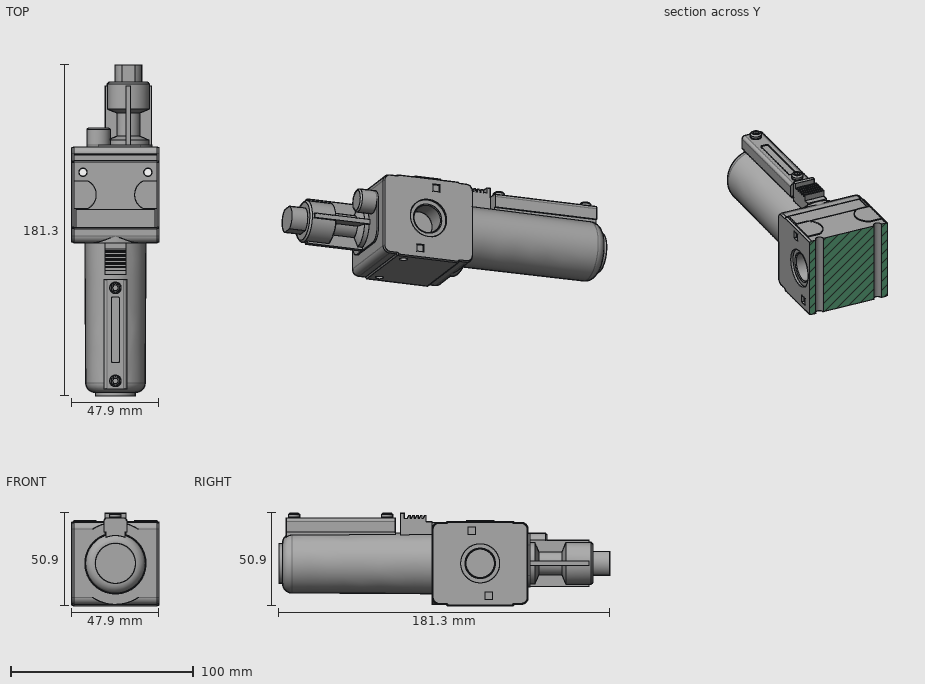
import cadquery as cq


TOTAL_LENGTH = 181.3
BLOCK_WIDTH = 47.9
BLOCK_DEPTH = 52.5
BLOCK_HALF_HEIGHT = 22.5
BLOCK_FILLET = 3.8
BAND_FRONT = 7.6
BAND_BACK = 45.0
BAND_SLOPE = 0.7
BAND_TOP = 23.0
BAND_BOTTOM = -23.4
SIDE_BEVEL_X = 1.3
SIDE_BEVEL_IN = 0.5

PAD_WIDTH = 15.2
PAD_RADIUS = 8.5
PAD_CENTER_X = 19.0
PAD_TOP = 23.5
FACE_WIDTH = BLOCK_WIDTH - 2 * SIDE_BEVEL_X

GROOVE_Y = 48.0
GROOVE_WIDTH = 0.5
GROOVE_DEPTH = 0.2

LABEL_WIDTH = 43.1
LABEL_BACK = 18.1
LABEL_DEPTH = 0.2

MOUNT_HOLE_DIAMETER = 4.4
MOUNT_HOLE_X = 17.8
MOUNT_HOLE_Y = 38.6

PORT_Y = (BAND_FRONT + BAND_BACK) / 2
PORT_DIAMETER = 15.6
PORT_DEPTH = 14.5
PORT_CHAMFER = 0.5
PORT_SEAT_DIAMETER = 21.4
PORT_SEAT_DEPTH = 1.5
MARK_SIZE = 4.2
MARK_OFFSET_Y = 4.7
MARK_OFFSET_Z = 17.8
MARK_DEPTH = 1.5

DOME_X = 7.0
DOME_DIAMETER = 23.2
DOME_BASE_DIAMETER = 22.8
DOME_NECK_DIAMETER = 12.9
DOME_BASE_TOP = 56.2
NECK_START = 58.4
NECK_END = 71.0
COLLAR_START = 73.2
COLLAR_END = 88.1
COLLAR_CHAMFER = 1.0
FIN_SPAN = 25.4
FIN_THICKNESS = 2.5
FIN_END = 86.0
KNOB_DIAMETER = 14.9
KNOB_FLATS = 13.0
KNOB_END = 97.4

PLUG_X = -9.2
PLUG_Z = 10.2
PLUG_DIAMETER = 12.9
PLUG_END = 63.0
PLUG_CHAMFER = 0.9

PLATE_CORNER = PLUG_DIAMETER / 2
PLATE_LEFT = PLUG_X - PLATE_CORNER
PLATE_TOP = PLUG_Z + PLATE_CORNER
PLATE_RIGHT = 20.1
PLATE_BOTTOM = -13.0
PLATE_THICKNESS = 0.9

BOWL_TOP_DIAMETER = 33.5
BOWL_END_DIAMETER = 32.6
BOWL_END = -82.0
BOWL_FILLET = 5.3
CAP_DIAMETER = 22.0
CAP_END = KNOB_END - TOTAL_LENGTH

LATCH_WIDTH = 11.6
LATCH_LENGTH = 17.4
LATCH_STEP_Z = 22.8
LATCH_STEP_LENGTH = 3.3
TOOTH_ROOT_Z = 24.7
TOOTH_TIP_Z = 26.3
TOOTH_ROOT_WIDTH = 1.6
TOOTH_TIP_WIDTH = 0.9
TOOTH_COUNT = 5
TOOTH_PITCH = 2.2
STOP_LENGTH = 2.2
TOP_Z = 27.5

RAIL_FRONT = -80.0
RAIL_BACK = -20.1
RAIL_WIDTH = 12.7
RAIL_FOOT_WIDTH = 10.5
RAIL_UNDERSIDE_Z = 17.0
RAIL_TOP_Z = 24.8
RAIL_FILLET = 1.8
WINDOW_WIDTH = 4.4
WINDOW_FRONT = -65.6
WINDOW_BACK = -29.7
WINDOW_DEPTH = 0.5
WINDOW_CORNER = 0.7

SCREW_YS = (-24.7, -75.6)
SCREW_NECK_DIAMETER = 6.0
SCREW_NECK_HEIGHT = 0.5
SCREW_DIAMETER = 6.3
SCREW_CHAMFER = 0.9
SOCKET_SIZE = 3.3
SOCKET_DEPTH = 1.5

EMBED_Z = 9.0


def box(x0, x1, y0, y1, z0, z1):
    """Box between two corners."""
    return cq.Workplane("XY").box(x1 - x0, y1 - y0, z1 - z0, centered=False).translate((x0, y0, z0))


def rod(x, z, diameter, y0, y1):
    """Cylinder along Y."""
    circle = cq.Workplane("XZ", origin=(x, y0, z)).circle(diameter / 2)
    return circle.extrude(y0 - y1)


def turned(points):
    """Solid of revolution about the Y axis from (radius, y) points."""
    return cq.Workplane("XY").polyline(points).close().revolve(360, (0, 0), (0, 1))


def block_profile(x, inset):
    """Side outline of the block in the plane at x, shrunk evenly by inset."""
    front = inset
    back = BLOCK_DEPTH - inset
    half_height = BLOCK_HALF_HEIGHT - inset
    radius = BLOCK_FILLET - inset
    band_front = BAND_FRONT + inset
    band_back = BAND_BACK - inset
    band_top = BAND_TOP - inset
    band_bottom = BAND_BOTTOM + inset
    return (
        cq.Workplane("YZ", origin=(x, 0, 0))
        .moveTo(front + radius, -half_height)
        .lineTo(band_front, -half_height)
        .lineTo(band_front + BAND_SLOPE, band_bottom)
        .lineTo(band_back - BAND_SLOPE, band_bottom)
        .lineTo(band_back, -half_height)
        .lineTo(back - radius, -half_height)
        .radiusArc((back, radius - half_height), -radius)
        .lineTo(back, half_height - radius)
        .radiusArc((back - radius, half_height), -radius)
        .lineTo(band_back, half_height)
        .lineTo(band_back - BAND_SLOPE, band_top)
        .lineTo(band_front + BAND_SLOPE, band_top)
        .lineTo(band_front, half_height)
        .lineTo(front + radius, half_height)
        .radiusArc((front, half_height - radius), -radius)
        .lineTo(front, radius - half_height)
        .radiusArc((front + radius, -half_height), -radius)
        .close()
    )


def make_block():
    """Filleted block with a raised band around it and bevelled side faces."""
    block = block_profile(-FACE_WIDTH / 2, 0).extrude(FACE_WIDTH)
    for side in (-1, 1):
        inner_wire = block_profile(side * FACE_WIDTH / 2, 0).val()
        outer_wire = block_profile(side * BLOCK_WIDTH / 2, SIDE_BEVEL_IN).val()
        bevel = cq.Solid.makeLoft([inner_wire, outer_wire], True)
        block = block.union(cq.Workplane(bevel))
    return block


def make_bowl_boss():
    """Round boss that carries the flat front face out through the front fillets."""
    return rod(0, 0, 2 * BLOCK_HALF_HEIGHT, 0, BLOCK_FILLET)


def make_pads():
    """Raised pads above the two ports, each running from a round end to the side bevel."""
    strip = box(
        -FACE_WIDTH / 2, FACE_WIDTH / 2,
        PORT_Y - PAD_WIDTH / 2, PORT_Y + PAD_WIDTH / 2,
        0, PAD_TOP,
    )
    middle = box(-PAD_CENTER_X, PAD_CENTER_X, 0, BLOCK_DEPTH, 0, PAD_TOP)
    round_ends = (
        cq.Workplane("XY")
        .pushPoints([(-PAD_CENTER_X, PORT_Y), (PAD_CENTER_X, PORT_Y)])
        .circle(PAD_RADIUS)
        .extrude(PAD_TOP)
    )
    return strip.cut(middle.cut(round_ends))


def make_label_recess():
    """Shallow step in the band top, open towards the band's front slope."""
    half_width = LABEL_WIDTH / 2
    return box(
        -half_width, half_width,
        BAND_FRONT + BAND_SLOPE, LABEL_BACK,
        BAND_TOP - LABEL_DEPTH, BAND_TOP,
    )


def make_groove():
    """Fine groove across the block top, beside the back fillet."""
    return box(
        -FACE_WIDTH / 2, FACE_WIDTH / 2,
        GROOVE_Y, GROOVE_Y + GROOVE_WIDTH,
        BLOCK_HALF_HEIGHT - GROOVE_DEPTH, BLOCK_HALF_HEIGHT,
    )


def make_mount_holes():
    """Two vertical through holes behind the ports."""
    return (
        cq.Workplane("XY", origin=(0, 0, BAND_BOTTOM))
        .pushPoints([(-MOUNT_HOLE_X, MOUNT_HOLE_Y), (MOUNT_HOLE_X, MOUNT_HOLE_Y)])
        .circle(MOUNT_HOLE_DIAMETER / 2)
        .extrude(BAND_TOP - BAND_BOTTOM)
    )


def make_port_cut():
    """Blind port with a sealing seat and two square marks, in the -X side face."""
    face_x = -BLOCK_WIDTH / 2
    face = cq.Workplane("YZ", origin=(face_x, 0, 0))
    seat = face.center(PORT_Y, 0).circle(PORT_SEAT_DIAMETER / 2).extrude(PORT_SEAT_DEPTH)
    bore = face.center(PORT_Y, 0).circle(PORT_DIAMETER / 2).extrude(PORT_DEPTH)
    lead_in = cq.Solid.makeCone(
        PORT_DIAMETER / 2 + PORT_CHAMFER,
        PORT_DIAMETER / 2,
        PORT_CHAMFER,
        pnt=cq.Vector(face_x + PORT_SEAT_DEPTH, PORT_Y, 0),
        dir=cq.Vector(1, 0, 0),
    )
    marks = (
        face.pushPoints([
            (PORT_Y - MARK_OFFSET_Y, MARK_OFFSET_Z),
            (PORT_Y + MARK_OFFSET_Y, -MARK_OFFSET_Z),
        ])
        .rect(MARK_SIZE, MARK_SIZE)
        .extrude(MARK_DEPTH)
    )
    return seat.union(bore).union(cq.Workplane(lead_in)).union(marks)


def make_plate():
    """Rounded plate under the drip dome and the filler plug."""
    plate = box(
        PLATE_LEFT, PLATE_RIGHT,
        BLOCK_DEPTH, BLOCK_DEPTH + PLATE_THICKNESS,
        PLATE_BOTTOM, PLATE_TOP,
    )
    return plate.edges("|Y").fillet(PLATE_CORNER)


def make_dome():
    """Drip dome: waisted round body, four fins and a knob with two flats."""
    neck_radius = DOME_NECK_DIAMETER / 2
    base_radius = DOME_BASE_DIAMETER / 2
    collar_radius = DOME_DIAMETER / 2
    dome = turned([
        (0, BLOCK_DEPTH),
        (base_radius, BLOCK_DEPTH),
        (base_radius, DOME_BASE_TOP),
        (neck_radius, NECK_START),
        (neck_radius, NECK_END),
        (collar_radius, COLLAR_START),
        (collar_radius, COLLAR_END - COLLAR_CHAMFER),
        (collar_radius - COLLAR_CHAMFER, COLLAR_END),
        (0, COLLAR_END),
    ])
    half_span = FIN_SPAN / 2
    half_fin = FIN_THICKNESS / 2
    dome = dome.union(box(-half_span, half_span, BLOCK_DEPTH, FIN_END, -half_fin, half_fin))
    dome = dome.union(box(-half_fin, half_fin, BLOCK_DEPTH, FIN_END, -half_span, half_span))
    knob_radius = KNOB_DIAMETER / 2
    knob_flats = box(-knob_radius, knob_radius, COLLAR_START, KNOB_END, -KNOB_FLATS / 2, KNOB_FLATS / 2)
    knob = rod(0, 0, KNOB_DIAMETER, COLLAR_START, KNOB_END).intersect(knob_flats)
    return dome.union(knob).translate((DOME_X, 0, 0))


def make_plug():
    """Oil filler plug with a chamfered end."""
    plug = rod(PLUG_X, PLUG_Z, PLUG_DIAMETER, BLOCK_DEPTH, PLUG_END)
    return plug.faces(">Y").chamfer(PLUG_CHAMFER)


def make_housing():
    housing = make_block().cut(make_label_recess()).union(make_bowl_boss()).union(make_pads())
    housing = housing.cut(make_groove()).cut(make_mount_holes())
    port_cut = make_port_cut()
    housing = housing.cut(port_cut).cut(port_cut.mirror("YZ"))
    return housing.union(make_plate()).union(make_dome()).union(make_plug())


def make_cup():
    """Slightly tapered round cup with a rounded end and a flat cap."""
    cup = turned([
        (0, 0),
        (BOWL_TOP_DIAMETER / 2, 0),
        (BOWL_END_DIAMETER / 2, BOWL_END),
        (0, BOWL_END),
    ])
    cup = cup.faces("<Y").edges().fillet(BOWL_FILLET)
    return cup.union(rod(0, 0, CAP_DIAMETER, CAP_END, BOWL_END + BOWL_FILLET))


def make_latch():
    """Bowl release latch with grip teeth and an end stop."""
    half_width = LATCH_WIDTH / 2
    latch = box(-half_width, half_width, -LATCH_LENGTH, 0, EMBED_Z, LATCH_STEP_Z)
    latch = latch.union(
        box(-half_width, half_width, -LATCH_LENGTH, -LATCH_STEP_LENGTH, EMBED_Z, TOOTH_ROOT_Z)
    )
    latch = latch.union(
        box(-half_width, half_width, -LATCH_LENGTH, STOP_LENGTH - LATCH_LENGTH, EMBED_Z, TOP_Z)
    )
    for index in range(TOOTH_COUNT):
        back = -LATCH_STEP_LENGTH - index * TOOTH_PITCH
        tooth = (
            cq.Workplane("YZ")
            .polyline([
                (back, TOOTH_ROOT_Z),
                (back - TOOTH_ROOT_WIDTH, TOOTH_ROOT_Z),
                (back - TOOTH_TIP_WIDTH, TOOTH_TIP_Z),
                (back, TOOTH_TIP_Z),
            ])
            .close()
            .extrude(half_width, both=True)
        )
        latch = latch.union(tooth)
    return latch


def make_rail():
    """Sight-glass rail on a narrower foot, with a shallow window."""
    half_width = RAIL_WIDTH / 2
    half_foot = RAIL_FOOT_WIDTH / 2
    rail = box(-half_width, half_width, RAIL_FRONT, RAIL_BACK, RAIL_UNDERSIDE_Z, RAIL_TOP_Z)
    rail = rail.faces(">Z").edges("|Y").fillet(RAIL_FILLET)
    rail = rail.union(box(-half_foot, half_foot, RAIL_FRONT, RAIL_BACK, EMBED_Z, RAIL_UNDERSIDE_Z))
    window = box(
        -WINDOW_WIDTH / 2, WINDOW_WIDTH / 2,
        WINDOW_FRONT, WINDOW_BACK,
        RAIL_TOP_Z - WINDOW_DEPTH, RAIL_TOP_Z,
    )
    return rail.cut(window.edges("|Z").fillet(WINDOW_CORNER))


def make_screw_head(y):
    """Screw head on the rail, with an undercut neck and a hexagon socket."""
    neck = cq.Workplane("XY", origin=(0, y, RAIL_TOP_Z)).circle(SCREW_NECK_DIAMETER / 2)
    neck = neck.extrude(SCREW_NECK_HEIGHT)
    head_z = RAIL_TOP_Z + SCREW_NECK_HEIGHT
    head = cq.Workplane("XY", origin=(0, y, head_z)).circle(SCREW_DIAMETER / 2).extrude(TOP_Z - head_z)
    head = head.faces(">Z").chamfer(SCREW_CHAMFER)
    socket = cq.Workplane("XY", origin=(0, y, TOP_Z)).polygon(6, SOCKET_SIZE).extrude(-SOCKET_DEPTH)
    return neck.union(head).cut(socket)


def make_bowl():
    bowl = make_cup().union(make_latch()).union(make_rail())
    for y in SCREW_YS:
        bowl = bowl.union(make_screw_head(y))
    return bowl


housing = make_housing()
bowl = make_bowl()
result = cq.Compound.makeCompound([housing.val(), bowl.val()])